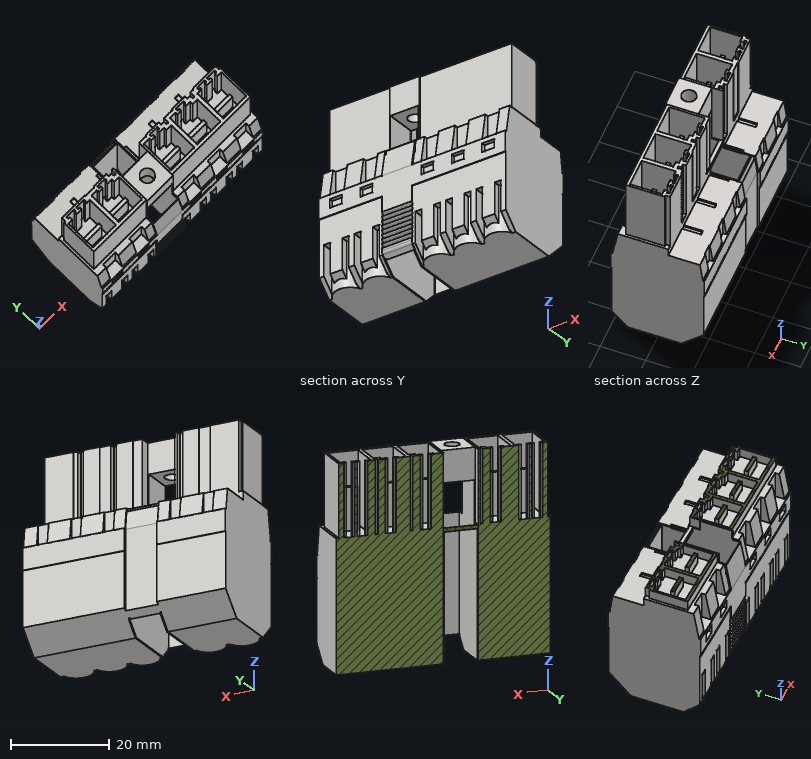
import cadquery as cq
import math

LENGTH = 46.6
DEPTH = 20.6
HEIGHT = 45.0
PITCH = 7.6
CELL_CENTRES = [(i - 2.5) * PITCH for i in (0, 1, 3, 4, 5)]
INNER_CELL_CENTRES = CELL_CENTRES[1:4]
BAY_CENTRE = -PITCH / 2
BAY_WIDTH = 7.45
BAY_LEFT = BAY_CENTRE - BAY_WIDTH / 2
BAY_RIGHT = BAY_CENTRE + BAY_WIDTH / 2

FRONT = -DEPTH / 2
BACK = DEPTH / 2
BAND_STEP = 0.2
BAND_BOTTOM = 17.45
BAND_TOP = 22.42
SHOULDER_Z = 29.15
DECK_Z = 27.2
SLOPE_FOOT_INSET = 0.35
SHOULDER_FRONT = -8.75
DECK_BACK = 9.32
BASE_FRONT = -6.57
BASE_BACK = 5.2

SHROUD_FRONT = -7.23
SHROUD_BACK = 2.4
SHROUD_END = 22.75
CORNER_NOTCH = (0.4, 1.0)

CAVITY_FRONT = -6.5
CAVITY_HALF = 3.35
CAVITY_OUTER_HALF = 3.25
CAVITY_FLOOR = SHOULDER_Z
MID_BACK = 0.8
INNER_STEP_X = -1.72
INNER_STEP_BACK = 1.35
INNER_SHELF_X = 1.95
INNER_SHELF_BACK = 0.1
END_OUTER_BACK = 0.6
END_INNER_BACK = 1.0
TEE_HEAD_HALF = 1.1
TEE_STEM_HALF = 0.65
TEE_NECK_Y = 1.35
TEE_BACK = 1.85
END_TEE_OFFSET = 1.45

GROOVE_WIDTH = 1.03
GROOVE_BACK = 6.5
GROOVE_DEPTH = 0.45
RECESS_DEPTH = 0.2
NOTCH_LEFT = 2.0
NOTCH_STEP = 2.85
NOTCH_SHALLOW_Y = 1.7
NOTCH_DEEP_Y = 1.0

FRONT_POCKET_WIDTH = 3.55
FRONT_POCKET_Y = -7.9
BACK_POCKET_WIDTH = 2.42
BACK_POCKET_Y = 9.15
WINDOW_WIDTH = 3.05
WINDOW_BOTTOM = 19.25
WINDOW_TOP = 21.35
WINDOW_DEPTH = 0.95

TOWER_RADIUS = 3.75
TOWER_Y = -5.2
TOWER_TOP = 11.05
SLOT_SPAN = 6.2
SLOT_BRIDGE = 3.05

PLATE_INNER_Y = -9.05
PLATE_TOP_Y = -9.15
PLATE_TOP_Z = 28.8
PLATE_CHAMFER_EDGE = 4.05
PLATE_ROUND = 0.45
GRIP_TOP = 13.7
GRIP_BOTTOM = 5.05
GRIP_COUNT = 8
GRIP_PITCH = (GRIP_TOP - GRIP_BOTTOM) / GRIP_COUNT
GRIP_SLOPE = 0.35
BACK_PLATE_INNER = 8.25
BACK_PLATE_OUTER = 9.65
BACK_PLATE_BEND = (9.15, 26.45)
BACK_PLATE_TOP_EDGE = 8.6

LEG_THICKNESS = 0.25
LEG_LEDGE_Z = 28.95
BLOCK_FRONT = -7.55
BLOCK_BACK = -0.25
BLOCK_BOTTOM = 38.0
HOLE_DIAMETER = 3.15
HOLE_Y = -3.8
BAR_FRONT = 1.35
BAR_BACK = 2.25

BLADE_WIDTH = 4.48
BLADE_THICKNESS = 0.9
BLADE_Y = -3.15
BLADE_TOP = 38.45
BLADE_SEAT_DEPTH = 4.65


def block(x0, x1, y0, y1, z0, z1):
    """Box between two opposite corners."""
    return cq.Workplane("XY").box(x1 - x0, y1 - y0, z1 - z0, centered=False).translate((x0, y0, z0))


def side_profile(x, points):
    """Closed outline of (Y, Z) points on the plane at the given X."""
    return cq.Workplane("YZ", origin=(x, 0, 0)).polyline(points).close()



def base_section(x0, x1):
    """Length of the base with its band, sloped ledges and chamfered lower edges."""
    wall_front = FRONT + BAND_STEP
    wall_back = BACK - BAND_STEP
    points = [
        (BASE_FRONT, 0),
        (wall_front, BASE_FRONT - wall_front),
        (wall_front, BAND_BOTTOM),
        (FRONT, BAND_BOTTOM),
        (FRONT, BAND_TOP),
        (FRONT + SLOPE_FOOT_INSET, BAND_TOP),
        (SHOULDER_FRONT, SHOULDER_Z),
        (SHROUD_BACK, SHOULDER_Z),
        (SHROUD_BACK, DECK_Z),
        (DECK_BACK, DECK_Z),
        (BACK - SLOPE_FOOT_INSET, BAND_TOP),
        (BACK, BAND_TOP),
        (BACK, BAND_BOTTOM),
        (wall_back, BAND_BOTTOM),
        (wall_back, wall_back - BASE_BACK),
        (BASE_BACK, 0),
    ]
    return side_profile(x0, points).extrude(x1 - x0)


def ledge_pockets(x):
    """Pockets in the front and back slopes and the window in the band of one cell."""
    front_half = FRONT_POCKET_WIDTH / 2
    back_half = BACK_POCKET_WIDTH / 2
    window_half = WINDOW_WIDTH / 2
    front = block(x - front_half, x + front_half, FRONT, FRONT_POCKET_Y, BAND_TOP, SHOULDER_Z)
    back = block(x - back_half, x + back_half, BACK_POCKET_Y, BACK, BAND_TOP, DECK_Z)
    window = block(x - window_half, x + window_half, FRONT, FRONT + WINDOW_DEPTH, WINDOW_BOTTOM, WINDOW_TOP)
    return front.union(back).union(window)


def tower_slots(x):
    """Two slots in the front wall that lay bare the flanks of one tower."""
    span_half = SLOT_SPAN / 2
    bridge_half = SLOT_BRIDGE / 2
    span = block(x - span_half, x + span_half, FRONT, TOWER_Y, 0, TOWER_TOP)
    bridge = block(x - bridge_half, x + bridge_half, FRONT, TOWER_Y, 0, TOWER_TOP)
    return span.cut(bridge)


def tower(x):
    return cq.Workplane("XY").center(x, TOWER_Y).circle(TOWER_RADIUS).extrude(TOWER_TOP)


def deck_groove(x):
    """Groove along the boundary between two cells, with a shallow recess up the shroud behind it."""
    half = GROOVE_WIDTH / 2
    groove = block(x - half, x + half, SHROUD_BACK, GROOVE_BACK, DECK_Z - GROOVE_DEPTH, DECK_Z)
    return groove.union(back_recess(x - half, x + half))


def back_recess(x0, x1):
    return block(x0, x1, SHROUD_BACK - RECESS_DEPTH, SHROUD_BACK, SHOULDER_Z, HEIGHT)



def shroud(x0, x1):
    return block(x0, x1, SHROUD_FRONT, SHROUD_BACK, SHOULDER_Z, HEIGHT)


def corner_notch(side):
    """Notch down the outer back corner at the end of the shroud on the given side."""
    width, depth = CORNER_NOTCH
    x0, x1 = sorted((side * SHROUD_END, side * (SHROUD_END - width)))
    return block(x0, x1, SHROUD_BACK - depth, SHROUD_BACK, SHOULDER_Z, HEIGHT)


def cavity_from(points):
    """Prism over the given (X, Y) outline from the cavity floor to the top of the shroud."""
    outline = cq.Workplane("XY", origin=(0, 0, CAVITY_FLOOR)).polyline(points).close()
    return outline.extrude(HEIGHT - CAVITY_FLOOR)


def tee_slot(x, stem_foot):
    """T-shaped coding slot that opens into the back of a cavity."""
    stem = block(x - TEE_STEM_HALF, x + TEE_STEM_HALF, stem_foot, TEE_NECK_Y, CAVITY_FLOOR, HEIGHT)
    head = block(x - TEE_HEAD_HALF, x + TEE_HEAD_HALF, TEE_NECK_Y, TEE_BACK, CAVITY_FLOOR, HEIGHT)
    return stem.union(head)


def inner_cavity():
    """Cavity of an inner cell with one coding slot, about X = 0."""
    points = [
        (-CAVITY_HALF, CAVITY_FRONT),
        (-CAVITY_HALF, INNER_STEP_BACK),
        (INNER_STEP_X, INNER_STEP_BACK),
        (INNER_STEP_X, MID_BACK),
        (INNER_SHELF_X, MID_BACK),
        (INNER_SHELF_X, INNER_SHELF_BACK),
        (CAVITY_HALF, INNER_SHELF_BACK),
        (CAVITY_HALF, CAVITY_FRONT),
    ]
    return cavity_from(points).union(tee_slot(0, INNER_SHELF_BACK))


def left_end_cavity():
    """Cavity of the left end cell with two coding slots, about X = 0."""
    points = [
        (-CAVITY_OUTER_HALF, CAVITY_FRONT),
        (-CAVITY_OUTER_HALF, END_OUTER_BACK),
        (-END_TEE_OFFSET, END_OUTER_BACK),
        (-END_TEE_OFFSET, MID_BACK),
        (END_TEE_OFFSET, MID_BACK),
        (END_TEE_OFFSET, END_INNER_BACK),
        (CAVITY_HALF, END_INNER_BACK),
        (CAVITY_HALF, CAVITY_FRONT),
    ]
    cavity = cavity_from(points)
    for x in (-END_TEE_OFFSET, END_TEE_OFFSET):
        cavity = cavity.union(tee_slot(x, END_OUTER_BACK))
    return cavity


def inner_back_notches(x):
    """Stepped notch and shallow recess in the back of the shroud at an inner cell."""
    shallow = block(x + NOTCH_LEFT, x + CAVITY_HALF, NOTCH_SHALLOW_Y, SHROUD_BACK, SHOULDER_Z, HEIGHT)
    deep = block(x + NOTCH_STEP, x + CAVITY_HALF, NOTCH_DEEP_Y, SHROUD_BACK, SHOULDER_Z, HEIGHT)
    recess = back_recess(x - PITCH / 2, x + INNER_STEP_X)
    return shallow.union(deep).union(recess)



def grip_groove(top):
    """Groove with 45 degree sides and a round floor across the front plate."""
    bottom = top - GRIP_PITCH
    floor_y = FRONT + GRIP_SLOPE
    floor_sag = (GRIP_PITCH - 2 * GRIP_SLOPE) / 2 * math.tan(math.pi / 8)
    return (
        cq.Workplane("YZ", origin=(BAY_LEFT, 0, 0))
        .moveTo(FRONT, top)
        .lineTo(floor_y, top - GRIP_SLOPE)
        .threePointArc((floor_y + floor_sag, (top + bottom) / 2), (floor_y, bottom + GRIP_SLOPE))
        .lineTo(FRONT, bottom)
        .close()
        .extrude(BAY_WIDTH)
    )


def front_plate():
    """Front plate with a rounded, chamfered lower edge and a ribbed grip."""
    chamfer_rise = PLATE_INNER_Y - FRONT
    diagonal = PLATE_ROUND * math.sqrt(0.5)
    round_radius = PLATE_ROUND / math.tan(math.pi / 8)
    centre_y = FRONT + round_radius
    round_top = PLATE_CHAMFER_EDGE + PLATE_ROUND
    middle = (
        centre_y - round_radius * math.cos(math.pi / 8),
        round_top - round_radius * math.sin(math.pi / 8),
    )
    plate = (
        cq.Workplane("YZ", origin=(BAY_LEFT, 0, 0))
        .moveTo(PLATE_INNER_Y, PLATE_TOP_Z)
        .lineTo(PLATE_TOP_Y, PLATE_TOP_Z)
        .lineTo(FRONT, BAND_TOP)
        .lineTo(FRONT, round_top)
        .threePointArc(middle, (FRONT + diagonal, PLATE_CHAMFER_EDGE - diagonal))
        .lineTo(PLATE_INNER_Y, PLATE_CHAMFER_EDGE - chamfer_rise)
        .close()
        .extrude(BAY_WIDTH)
    )
    for i in range(GRIP_COUNT):
        plate = plate.cut(grip_groove(GRIP_TOP - i * GRIP_PITCH))
    return plate


def back_plate():
    points = [
        (BACK_PLATE_INNER, BACK_PLATE_INNER - BASE_BACK),
        (BACK_PLATE_OUTER, BACK_PLATE_OUTER - BASE_BACK),
        (BACK_PLATE_OUTER, BAND_TOP),
        BACK_PLATE_BEND,
        (BACK_PLATE_TOP_EDGE, DECK_Z),
        (BACK_PLATE_INNER, DECK_Z),
    ]
    return side_profile(BAY_LEFT, points).extrude(BAY_WIDTH)



def make_blade(x):
    """Contact blade standing in its cavity, its foot sunk in the housing."""
    half_width = BLADE_WIDTH / 2
    front = BLADE_Y - BLADE_THICKNESS / 2
    foot = CAVITY_FLOOR - BLADE_SEAT_DEPTH
    return block(x - half_width, x + half_width, front, front + BLADE_THICKNESS, foot, BLADE_TOP)


def make_housing(blades):
    """Two shrouded halves joined across the bay by the front and back plates."""
    body = base_section(-LENGTH / 2, BAY_LEFT).union(base_section(BAY_RIGHT, LENGTH / 2))
    body = body.union(shroud(-SHROUD_END, BAY_LEFT)).union(shroud(BAY_RIGHT, SHROUD_END))
    body = body.union(front_plate()).union(back_plate())

    for x in CELL_CENTRES:
        body = body.cut(ledge_pockets(x)).cut(tower_slots(x)).union(tower(x))
    for x in INNER_CELL_CENTRES:
        body = body.cut(inner_cavity().translate((x, 0, 0))).cut(inner_back_notches(x))
    left_cavity = left_end_cavity()
    right_cavity = left_cavity.mirror("YZ")
    body = body.cut(left_cavity.translate((CELL_CENTRES[0], 0, 0)))
    body = body.cut(right_cavity.translate((CELL_CENTRES[-1], 0, 0)))

    for i in range(-2, 3):
        body = body.cut(deck_groove(i * PITCH))
    for side in (-1, 1):
        body = body.cut(corner_notch(side))
    for blade in blades:
        body = body.cut(blade)
    return body.clean()


def make_flange_insert():
    """Drilled flange block carried on two thin legs that line the bay walls."""
    leg_outline = [
        (BASE_FRONT, 0),
        (PLATE_INNER_Y, BASE_FRONT - PLATE_INNER_Y),
        (PLATE_INNER_Y, LEG_LEDGE_Z),
        (BLOCK_FRONT, LEG_LEDGE_Z),
        (BLOCK_FRONT, HEIGHT),
        (BLOCK_BACK, HEIGHT),
        (BLOCK_BACK, LEG_LEDGE_Z),
        (SHROUD_BACK, LEG_LEDGE_Z),
        (SHROUD_BACK, DECK_Z),
        (BACK_PLATE_INNER, DECK_Z),
        (BACK_PLATE_INNER, BACK_PLATE_INNER - BASE_BACK),
        (BASE_BACK, 0),
    ]
    insert = block(BAY_LEFT, BAY_RIGHT, BLOCK_FRONT, BLOCK_BACK, BLOCK_BOTTOM, HEIGHT)
    for x in (BAY_LEFT, BAY_RIGHT - LEG_THICKNESS):
        insert = insert.union(side_profile(x, leg_outline).extrude(LEG_THICKNESS))
    bar_bottom = LEG_LEDGE_Z - (BAR_BACK - BAR_FRONT)
    bar = block(BAY_LEFT, BAY_RIGHT, BAR_FRONT, BAR_BACK, bar_bottom, LEG_LEDGE_Z)
    insert = insert.union(bar)
    hole = cq.Workplane("XY", origin=(BAY_CENTRE, HOLE_Y, BLOCK_BOTTOM)).circle(HOLE_DIAMETER / 2)
    return insert.cut(hole.extrude(HEIGHT - BLOCK_BOTTOM)).clean()


contact_blades = [make_blade(x) for x in CELL_CENTRES]
housing = make_housing(contact_blades)
flange_insert = make_flange_insert()

result = cq.Compound.makeCompound([housing.val(), flange_insert.val(), *[b.val() for b in contact_blades]])